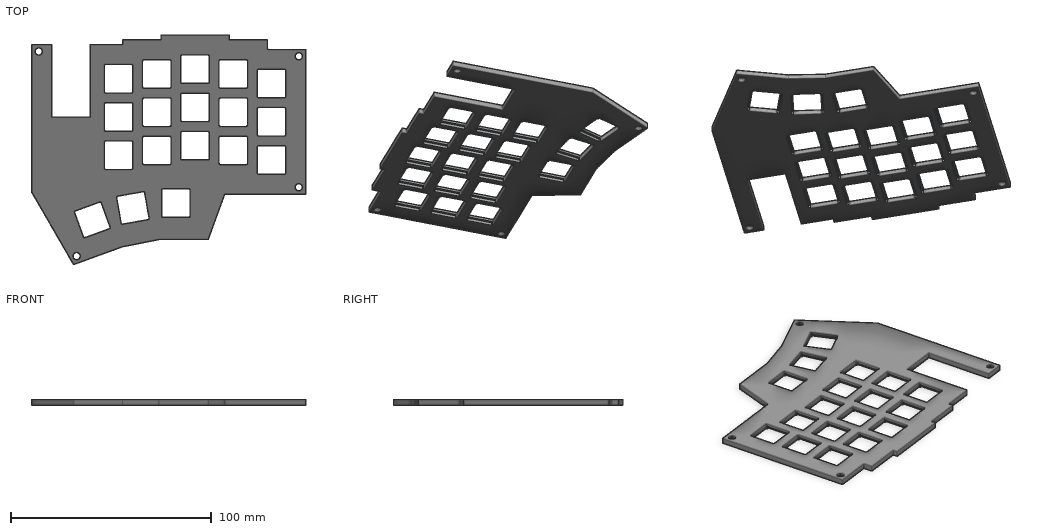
import cadquery as cq
import math


plate_length = 136.54
plate_width = 114.43
thickness = 3.0

key_pitch = 19.05
key_opening = 14.0
key_corner_radius = 0.5
rows = 3
key_margin = 7.55
border = key_pitch / 2 + key_margin
stagger_step = key_pitch / 8
column_drops = [2, 1, 0, 1, 3]

clip_lip_thickness = 1.5
clip_depth = 1.1
clip_length = key_opening - 2 * key_corner_radius

thumb_row_drop = 3.5 * key_pitch
middle_thumb_center = (50.4, 28.25)
middle_thumb_tilt = 10.0
outer_thumb_center = (30.2, 22.3)
outer_thumb_tilt = 20.0

notch_left = 10.0
notch_right = notch_left + key_pitch
notch_floor = 73.6
left_corner_y = 36.0
left_slant_angle = 60.0
right_slant_angle = 70.0
right_slant_top_x = 96.2
thumb_edge_y = 12.4
thumb_edge_start_x = 63.3
bend_x = 45.2

edge_radius = 0.25
outline_corner_radius = 0.26

hole_diameter = 3.4
hole_inset = 3.5


def tan_deg(angle):
    return math.tan(math.radians(angle))


last_column_x = plate_length - border
column_count = len(column_drops)
column_x = [last_column_x - (column_count - 1 - i) * key_pitch for i in range(column_count)]
column_edge_y = [plate_width - drop * stagger_step for drop in column_drops]
column_top_y = [edge - border for edge in column_edge_y]
tallest = column_drops.index(0)

right_edge_bottom_y = column_top_y[-1] - (rows - 1) * key_pitch - border
right_slant_foot_x = right_slant_top_x - (right_edge_bottom_y - thumb_edge_y) / tan_deg(right_slant_angle)

tip_edge_angle = 180 - left_slant_angle
tip_bisector = math.radians((tip_edge_angle + outer_thumb_tilt) / 2)
tip_half_angle = math.radians((tip_edge_angle - outer_thumb_tilt) / 2)
tip_y = outline_corner_radius * (1 - math.sin(tip_bisector) / math.sin(tip_half_angle))
tip_x = (left_corner_y - tip_y) / tan_deg(left_slant_angle)

bend_y = tip_y + (bend_x - tip_x) * tan_deg(outer_thumb_tilt)


def make_plate():
    left_edge_y, second_edge_y, peak_edge_y, fourth_edge_y, right_edge_y = column_edge_y
    second_step_x = column_x[1] - border
    peak_left_x = column_x[tallest] - border
    peak_right_x = column_x[tallest] + border
    fourth_step_x = column_x[3] + border
    outline = [
        (0, left_corner_y),
        (0, left_edge_y),
        (notch_left, left_edge_y),
        (notch_left, notch_floor),
        (notch_right, notch_floor),
        (notch_right, left_edge_y),
        (second_step_x, left_edge_y),
        (second_step_x, second_edge_y),
        (peak_left_x, second_edge_y),
        (peak_left_x, peak_edge_y),
        (peak_right_x, peak_edge_y),
        (peak_right_x, fourth_edge_y),
        (fourth_step_x, fourth_edge_y),
        (fourth_step_x, right_edge_y),
        (plate_length, right_edge_y),
        (plate_length, right_edge_bottom_y),
        (right_slant_top_x, right_edge_bottom_y),
        (right_slant_foot_x, thumb_edge_y),
        (thumb_edge_start_x, thumb_edge_y),
        (bend_x, bend_y),
        (tip_x, tip_y),
    ]
    plate = cq.Workplane("XY").polyline(outline).close().extrude(thickness)
    return plate.edges("|Z").fillet(outline_corner_radius)


def place_box(length, width, height, center, tilt):
    box = cq.Workplane("XY").rect(length, width).extrude(height)
    return box.rotate((0, 0, 0), (0, 0, 1), tilt).translate((*center, 0))


def key_cutter(center, tilt):
    box = place_box(key_opening, key_opening, thickness, center, tilt)
    return box.edges("|Z").fillet(key_corner_radius)


def clip_cutter(center, tilt):
    length = key_opening + 2 * clip_depth
    return place_box(length, clip_length, thickness - clip_lip_thickness, center, tilt)


def key_places():
    places = []
    for x, top_y in zip(column_x, column_top_y):
        for row in range(rows):
            places.append(((x, top_y - row * key_pitch), 0))
    inner_thumb_x = (column_x[1] + column_x[2]) / 2
    inner_thumb_y = column_top_y[tallest] - thumb_row_drop
    places.append(((inner_thumb_x, inner_thumb_y), 0))
    places.append((middle_thumb_center, middle_thumb_tilt))
    places.append((outer_thumb_center, outer_thumb_tilt))
    return places


def cut_at_keys(plate, make_cutter):
    for center, tilt in key_places():
        plate = plate.cut(make_cutter(center, tilt))
    return plate


def cut_screw_holes(plate):
    tip_distance = hole_inset / math.sin(tip_half_angle)
    right_hole_x = plate_length - hole_inset
    centers = [
        (hole_inset, column_edge_y[0] - hole_inset),
        (right_hole_x, column_edge_y[-1] - hole_inset),
        (right_hole_x, right_edge_bottom_y + hole_inset),
        (tip_x + tip_distance * math.cos(tip_bisector), tip_y + tip_distance * math.sin(tip_bisector)),
    ]
    cutters = cq.Workplane("XY").pushPoints(centers).circle(hole_diameter / 2).extrude(thickness)
    return plate.cut(cutters)


def round_face_edges(plate):
    return plate.faces("|Z").edges().fillet(edge_radius)


plate = make_plate()
plate = cut_at_keys(plate, key_cutter)
plate = cut_screw_holes(plate)
plate = round_face_edges(plate)
plate = cut_at_keys(plate, clip_cutter)
result = plate